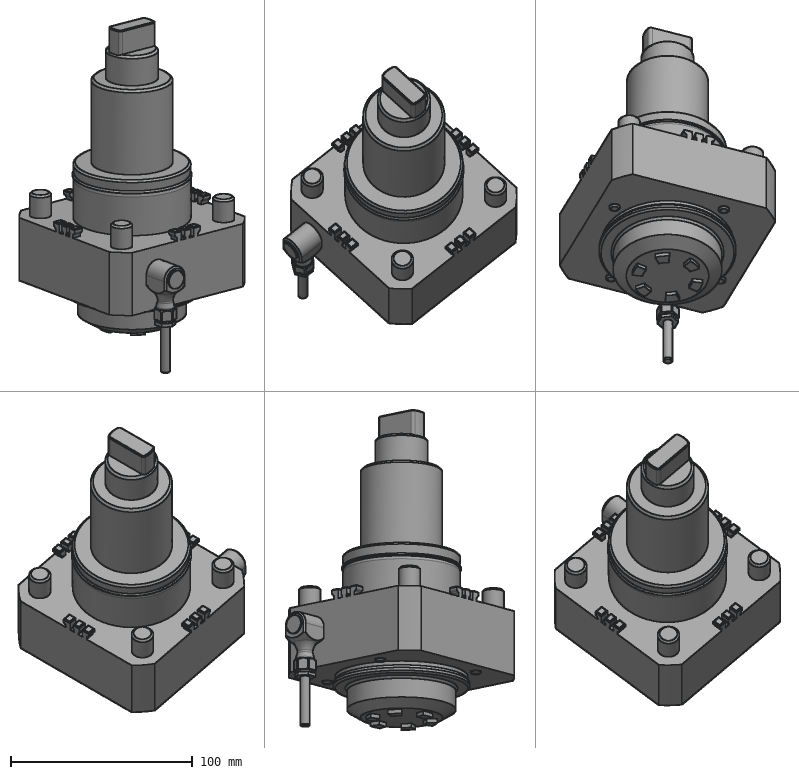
import cadquery as cq
import math


BODY_X = 96.0
BODY_Y = 97.0
BODY_HEIGHT = 36.5
BODY_CORNER_RADIUS = 62.2

PIN_X = 35.0
PIN_Y = 36.5
PIN_RADIUS = 6.0
PIN_HEIGHT = 13.2
PIN_CHAMFER = 1.2

PILOT_RADIUS = 32.5
PILOT_TOP = 32.0
PILOT_CHAMFER = 1.2
GROOVE_RADIUS = 32.1
GROOVE_TOP = 25.8
GROOVE_BOTTOM = 22.6
SEAL_RADIUS = 33.0
SEAL_Z = 24.7
SEAL_BOTTOM = 24.2
SHAFT_RADIUS = 22.5
SHAFT_TOP = 81.0
NOSE_RADIUS = 14.5
NOSE_TOP = 98.1
SHAFT_CHAMFER = 1.4

TANG_WIDTH = 10.4
TANG_END_RADIUS = 13.6
TANG_TOP = 112.0
TANG_FILLET = 2.0
TANG_CHAMFER = 0.6

TOOTH_DEPTH = 5.2
TOOTH_HEIGHT = 5.5
TOOTH_NECK_HEIGHT = 1.6
TOOTH_HEAD_BOTTOM = 3.2
TOOTH_SIDE_FILLET = 1.2
TOOTH_CHAMFER = 0.6
MIDDLE_HEAD_HALF = 2.1
MIDDLE_NECK_HALF = 1.5
SIDE_TOOTH_INNER = 4.4
SIDE_NECK_OUTER = 7.4
SIDE_HEAD_OUTER = 9.1

COLLAR_RADIUS = 36.6
COLLAR_RIM_RADIUS = 37.7
COLLAR_CONE_TOP = -38.7
COLLAR_RIM_TOP = -40.4
COLLAR_RIM_BOTTOM = -42.0
COLLAR_BOTTOM = -43.1
NUT_NECK_RADIUS = 31.0
NUT_RADIUS = 30.0
NUT_TOP = -44.7
NUT_CONE_TOP = -55.3
NUT_FACE_RADIUS = 22.7
NUT_BOTTOM = -59.8

LUG_COUNT = 6
LUG_ANGLE = 23.5
LUG_INNER_RADIUS = 14.0
LUG_OUTER_RADIUS = 19.7
LUG_BOTTOM = -62.1

SCREW_COUNT = 4
SCREW_OFFSET = 18.2
SCREW_REACH = 38.5
SCREW_RADIUS = 3.0
SCREW_HEIGHT = 1.3
SCREW_CHAMFER = 1.0

FITTING_X = 55.4
FITTING_Y = -22.1
FITTING_Z = -15.1
FITTING_RADIUS = 7.4
FITTING_END = 64.2
FITTING_CHAMFER = 1.0
FITTING_BALL_RADIUS = 14.0
FITTING_BALL_Z = -11.6
PLUG_RADIUS = 5.2
PLUG_END = 65.0
STEM_TOP = -23.8
STEM_TOP_RADIUS = 6.8
STEM_FLARE_RADIUS = 5.1
STEM_FLARE_Z = -26.1
STEM_WAIST_TOP = -28.6
STEM_WAIST_BOTTOM = -29.8
STEM_WAIST_RADIUS = 4.3
STEM_SHOULDER = -32.6
STEM_RADIUS = 5.1
HEX_TOP = -33.6
HEX_BOTTOM = -39.9
HEX_FLATS = 11.2
HEX_TURNED_RADIUS = 6.2
HEX_CHAMFER = 0.8
STEM_LOWER_RADIUS = 4.4
WASHER_TOP = -41.3
WASHER_BOTTOM = -43.3
WASHER_FLATS = 10.2
TUBE_RADIUS = 2.65
TUBE_BOTTOM = -71.1
TUBE_CHAMFER = 0.7

OVERLAP = 1.0


def chamfered_rod(radius, bottom, top, chamfer):
    """Vertical cylinder with a chamfered top edge."""
    rod = cq.Workplane("XY").workplane(offset=bottom).circle(radius).extrude(top - bottom)
    return rod.faces(">Z").chamfer(chamfer)


def make_body():
    """Square block cut to a large turned radius at its four corners."""
    block = cq.Workplane("XY").rect(BODY_X, BODY_Y).extrude(-BODY_HEIGHT)
    turned = cq.Workplane("XY").circle(BODY_CORNER_RADIUS).extrude(-BODY_HEIGHT)
    return block.intersect(turned)


def make_pins():
    """Four chamfered pins near the corners of the body."""
    pin = chamfered_rod(PIN_RADIUS, -OVERLAP, PIN_HEIGHT, PIN_CHAMFER)
    pins = cq.Workplane("XY")
    for side_x in (-1, 1):
        for side_y in (-1, 1):
            pins = pins.add(pin.translate((side_x * PIN_X, side_y * PIN_Y, 0)))
    return pins.combine()


def make_shank():
    """Pilot with a seal ring, then the shaft and the nose."""
    pilot = (
        cq.Workplane("XZ")
        .moveTo(0, -OVERLAP)
        .lineTo(PILOT_RADIUS, -OVERLAP)
        .lineTo(PILOT_RADIUS, GROOVE_BOTTOM)
        .lineTo(GROOVE_RADIUS, SEAL_BOTTOM)
        .lineTo(SEAL_RADIUS, SEAL_Z)
        .lineTo(GROOVE_RADIUS, GROOVE_TOP)
        .lineTo(PILOT_RADIUS, PILOT_TOP - PILOT_CHAMFER)
        .lineTo(PILOT_RADIUS - PILOT_CHAMFER, PILOT_TOP)
        .lineTo(0, PILOT_TOP)
        .close()
        .revolve(360, (0, 0, 0), (0, 1, 0))
    )
    shaft = chamfered_rod(SHAFT_RADIUS, PILOT_TOP - OVERLAP, SHAFT_TOP, SHAFT_CHAMFER)
    nose = chamfered_rod(NOSE_RADIUS, SHAFT_TOP - OVERLAP, NOSE_TOP, SHAFT_CHAMFER)
    return pilot.union(shaft).union(nose)


def make_tang():
    """Flat drive tang with round ends."""
    height = TANG_TOP - NOSE_TOP + OVERLAP
    base = cq.Workplane("XY").workplane(offset=NOSE_TOP - OVERLAP)
    round_bar = base.circle(TANG_END_RADIUS).extrude(height)
    blade = base.rect(TANG_WIDTH, 2 * TANG_END_RADIUS).extrude(height).intersect(round_bar)
    return blade.edges("|Z").fillet(TANG_FILLET).faces(">Z").chamfer(TANG_CHAMFER)


def make_tooth(outline):
    """One tooth, its back on the plane Y = 0 and reaching toward +Y, chamfered on top."""
    tooth = cq.Workplane("XZ").polyline(outline).close().extrude(-TOOTH_DEPTH)
    return tooth.faces(">Z").chamfer(TOOTH_CHAMFER)


def make_tooth_row():
    """Three teeth: a symmetric middle tooth between two that flare outward."""
    middle_right = [
        (MIDDLE_NECK_HALF, -OVERLAP),
        (MIDDLE_NECK_HALF, TOOTH_NECK_HEIGHT / 2),
        (MIDDLE_HEAD_HALF, TOOTH_NECK_HEIGHT),
        (MIDDLE_HEAD_HALF, TOOTH_HEIGHT),
    ]
    middle_left = [(-x, z) for x, z in reversed(middle_right)]
    side = make_tooth([
        (SIDE_TOOTH_INNER, -OVERLAP),
        (SIDE_NECK_OUTER, -OVERLAP),
        (SIDE_NECK_OUTER, TOOTH_NECK_HEIGHT),
        (SIDE_HEAD_OUTER, TOOTH_HEAD_BOTTOM),
        (SIDE_HEAD_OUTER, TOOTH_HEIGHT),
        (SIDE_TOOTH_INNER, TOOTH_HEIGHT),
    ])
    for x, z in ((SIDE_NECK_OUTER, TOOTH_NECK_HEIGHT), (SIDE_HEAD_OUTER, TOOTH_HEAD_BOTTOM)):
        bend = cq.selectors.NearestToPointSelector((x, TOOTH_DEPTH / 2, z))
        side = side.edges(bend).fillet(TOOTH_SIDE_FILLET)
    row = make_tooth(middle_right + middle_left)
    return row.add(side).add(side.mirror("YZ")).combine()


def make_teeth():
    """A row of teeth flush with each of the four side faces."""
    row = make_tooth_row()
    teeth = cq.Workplane("XY")
    for quarter, span in enumerate((BODY_Y, BODY_X, BODY_Y, BODY_X)):
        placed = row.translate((0, -span / 2, 0))
        teeth = teeth.add(placed.rotate((0, 0, 0), (0, 0, 1), 90 * quarter))
    return teeth.combine()


def make_nut():
    """Collar and collet nut, turned in one profile."""
    return (
        cq.Workplane("XZ")
        .moveTo(0, OVERLAP - BODY_HEIGHT)
        .lineTo(COLLAR_RADIUS, OVERLAP - BODY_HEIGHT)
        .lineTo(COLLAR_RADIUS, COLLAR_CONE_TOP)
        .lineTo(COLLAR_RIM_RADIUS, COLLAR_RIM_TOP)
        .lineTo(COLLAR_RIM_RADIUS, COLLAR_RIM_BOTTOM)
        .lineTo(COLLAR_RADIUS, COLLAR_BOTTOM)
        .lineTo(NUT_NECK_RADIUS, COLLAR_BOTTOM)
        .lineTo(NUT_RADIUS, NUT_TOP)
        .lineTo(NUT_RADIUS, NUT_CONE_TOP)
        .lineTo(NUT_FACE_RADIUS, NUT_BOTTOM)
        .lineTo(0, NUT_BOTTOM)
        .close()
        .revolve(360, (0, 0, 0), (0, 1, 0))
    )


def make_lugs():
    """Short radial lugs evenly spaced on the nut face."""
    base = cq.Workplane("XY").workplane(offset=LUG_BOTTOM)
    height = NUT_BOTTOM - LUG_BOTTOM + OVERLAP
    ring = base.circle(LUG_OUTER_RADIUS).circle(LUG_INNER_RADIUS).extrude(height)
    half_width = LUG_OUTER_RADIUS * math.tan(math.radians(LUG_ANGLE / 2))
    corners = [(0, 0), (half_width, LUG_OUTER_RADIUS), (-half_width, LUG_OUTER_RADIUS)]
    lug = base.polyline(corners).close().extrude(height).intersect(ring)
    lugs = cq.Workplane("XY")
    for index in range(LUG_COUNT):
        lugs = lugs.add(lug.rotate((0, 0, 0), (0, 0, 1), 360 / LUG_COUNT * index))
    return lugs.combine()


def make_screws():
    """Four low screw heads under the body, one toward each side."""
    head = (
        cq.Workplane("XY", origin=(SCREW_OFFSET, -SCREW_REACH, -BODY_HEIGHT - SCREW_HEIGHT))
        .circle(SCREW_RADIUS)
        .extrude(SCREW_HEIGHT + OVERLAP)
        .faces("<Z")
        .chamfer(SCREW_CHAMFER)
    )
    screws = cq.Workplane("XY")
    for index in range(SCREW_COUNT):
        screws = screws.add(head.rotate((0, 0, 0), (0, 0, 1), 360 / SCREW_COUNT * index))
    return screws.combine()


def make_fitting_head():
    """Arched block along X with a ball-shaped underside and a plug in its end."""
    start = BODY_X / 2 - OVERLAP
    axis_start = cq.Workplane("YZ", origin=(start, FITTING_Y, FITTING_Z))
    ball_bottom = FITTING_BALL_Z - FITTING_BALL_RADIUS - FITTING_Z
    arch = (
        axis_start
        .moveTo(-FITTING_RADIUS, ball_bottom)
        .lineTo(-FITTING_RADIUS, 0)
        .threePointArc((0, FITTING_RADIUS), (FITTING_RADIUS, 0))
        .lineTo(FITTING_RADIUS, ball_bottom)
        .close()
        .extrude(FITTING_END - start)
        .faces(">X")
        .chamfer(FITTING_CHAMFER)
    )
    ball = cq.Workplane("XY").sphere(FITTING_BALL_RADIUS)
    ball = ball.translate((FITTING_X, FITTING_Y, FITTING_BALL_Z))
    plug = axis_start.circle(PLUG_RADIUS).extrude(PLUG_END - start)
    return arch.intersect(ball).union(plug)


def hexagon(flats, bottom, top):
    """Vertical hexagonal prism on the stem axis with two corners along X, sized across flats."""
    base = cq.Workplane("XY", origin=(FITTING_X, FITTING_Y, bottom))
    return base.polygon(6, flats / math.cos(math.pi / 6)).extrude(top - bottom)


def stem_revolve(profile):
    """Solid turned about the vertical stem axis from (radius, Z) points."""
    outline = cq.Workplane("XZ", origin=(FITTING_X, FITTING_Y, 0)).polyline(profile).close()
    return outline.revolve(360, (0, 0, 0), (0, 1, 0))


def make_stem_flare():
    """Concave flare blending the ball into the waist of the stem."""
    return (
        cq.Workplane("XZ", origin=(FITTING_X, FITTING_Y, 0))
        .moveTo(0, STEM_TOP + OVERLAP)
        .lineTo(STEM_TOP_RADIUS, STEM_TOP + OVERLAP)
        .lineTo(STEM_TOP_RADIUS, STEM_TOP)
        .threePointArc((STEM_FLARE_RADIUS, STEM_FLARE_Z), (STEM_WAIST_RADIUS, STEM_WAIST_TOP))
        .lineTo(0, STEM_WAIST_TOP)
        .close()
        .revolve(360, (0, 0, 0), (0, 1, 0))
    )


def make_fitting_stem():
    """Waisted stem, hexagon, washer and the straight tube below them."""
    stem = stem_revolve([
        (0, STEM_TOP),
        (STEM_WAIST_RADIUS, STEM_TOP),
        (STEM_WAIST_RADIUS, STEM_WAIST_BOTTOM),
        (STEM_RADIUS, STEM_SHOULDER),
        (STEM_RADIUS, HEX_TOP - OVERLAP),
        (STEM_LOWER_RADIUS, HEX_TOP - OVERLAP),
        (STEM_LOWER_RADIUS, WASHER_TOP - OVERLAP),
        (TUBE_RADIUS, WASHER_TOP - OVERLAP),
        (TUBE_RADIUS, TUBE_BOTTOM + TUBE_CHAMFER),
        (TUBE_RADIUS - TUBE_CHAMFER, TUBE_BOTTOM),
        (0, TUBE_BOTTOM),
    ])
    hex_bevel = stem_revolve([
        (0, HEX_TOP),
        (HEX_TURNED_RADIUS - HEX_CHAMFER, HEX_TOP),
        (HEX_TURNED_RADIUS, HEX_TOP - HEX_CHAMFER),
        (HEX_TURNED_RADIUS, HEX_BOTTOM),
        (0, HEX_BOTTOM),
    ])
    hex_nut = hexagon(HEX_FLATS, HEX_BOTTOM, HEX_TOP).intersect(hex_bevel)
    washer = hexagon(WASHER_FLATS, WASHER_BOTTOM, WASHER_TOP)
    return stem.union(make_stem_flare()).union(hex_nut).union(washer)


result = make_body()
for piece in (
    make_pins(),
    make_shank(),
    make_tang(),
    make_teeth(),
    make_nut(),
    make_lugs(),
    make_screws(),
    make_fitting_head(),
    make_fitting_stem(),
):
    result = result.union(piece)